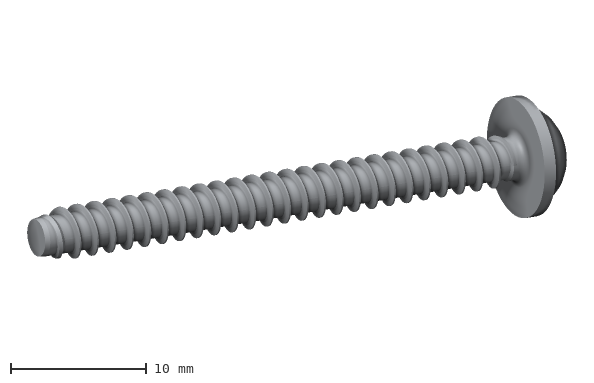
import cadquery as cq
import math

total_length = 43.1

flange_diameter = 9.0
flange_radius = flange_diameter / 2
flange_thickness = 0.95
crown_height = 2.1
crown_top_radius = 2.25
crown_base_radius = 3.92
crown_bulge = 0.25
crown_fillet = 0.17
head_height = flange_thickness + crown_height

shank_length = total_length - head_height
neck_diameter = 3.25
neck_radius = neck_diameter / 2
neck_fillet = 0.55
neck_length = 1.0
neck_taper_length = 0.2
core_radius = 1.45
tip_diameter = 2.8
tip_radius = tip_diameter / 2
tip_taper_length = 0.4

thread_radius = 2.0
thread_start = 0.95
thread_end = 39.6
thread_turns = 26.5
pitch = (thread_end - thread_start) / thread_turns
crest_width = 0.15
flank_width = 0.3
flank_radius = 1.65
head_side_root = 0.55
tip_side_root = 0.25
root_radius = 1.4

envelope_radius = thread_radius + 0.2
fade_in_start = 0.55
fade_in_length = 2.25
fade_in_radius = 1.65
fade_out_length = 2.67
fade_out_end = shank_length - 0.3
fade_out_radius = 1.42


def make_blank():
    """Revolve the head and the unthreaded shank about Z, with the seat at Z = 0."""
    chord_angle = math.atan2(crown_height, crown_base_radius - crown_top_radius)
    crown_mid = (
        (crown_top_radius + crown_base_radius) / 2 + crown_bulge * math.sin(chord_angle),
        -flange_thickness - crown_height / 2 - crown_bulge * math.cos(chord_angle),
    )
    fillet_inset = neck_fillet * (1 - math.sqrt(0.5))
    profile = (
        cq.Workplane("XZ")
        .moveTo(0, -head_height)
        .lineTo(crown_top_radius, -head_height)
        .threePointArc(crown_mid, (crown_base_radius, -flange_thickness))
        .lineTo(flange_radius, -flange_thickness)
        .lineTo(flange_radius, 0)
        .lineTo(neck_radius + neck_fillet, 0)
        .threePointArc((neck_radius + fillet_inset, fillet_inset), (neck_radius, neck_fillet))
        .lineTo(neck_radius, neck_length)
        .lineTo(core_radius, neck_length + neck_taper_length)
        .lineTo(core_radius, shank_length - tip_taper_length)
        .lineTo(tip_radius, shank_length)
        .lineTo(0, shank_length)
        .close()
    )
    blank = profile.revolve(360, (0, 0, 0), (0, 1, 0))
    crown_base = cq.selectors.RadiusNthSelector(-2)
    return blank.edges("%CIRCLE").edges(crown_base).fillet(crown_fillet)


def make_thread():
    """Sweep the ridge along its helix, then trim it to cones that fade out both ends."""
    helix = cq.Wire.makeHelix(pitch, thread_end - thread_start, core_radius)
    ridge = (
        cq.Workplane("XZ")
        .polyline([
            (root_radius, -head_side_root),
            (flank_radius, -flank_width / 2),
            (thread_radius, -crest_width / 2),
            (thread_radius, crest_width / 2),
            (flank_radius, flank_width / 2),
            (root_radius, tip_side_root),
        ])
        .close()
        .sweep(cq.Workplane(helix), isFrenet=True)
        .translate((0, 0, thread_start))
    )
    envelope = (
        cq.Workplane("XZ")
        .moveTo(0, fade_in_start)
        .lineTo(fade_in_radius, fade_in_start)
        .lineTo(envelope_radius, fade_in_start + fade_in_length)
        .lineTo(envelope_radius, fade_out_end - fade_out_length)
        .lineTo(fade_out_radius, fade_out_end)
        .lineTo(0, fade_out_end)
        .close()
        .revolve(360, (0, 0, 0), (0, 1, 0))
    )
    return ridge.intersect(envelope)


screw = make_blank().union(make_thread())
result = screw.rotate((0, 0, 0), (1, 0, 0), 90)